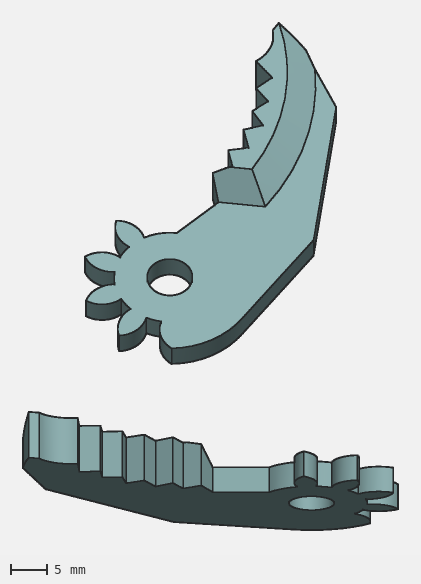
import cadquery as cq
import math

BASE_HEIGHT = 3.6
TOTAL_HEIGHT = 6.6

HOLE_RADIUS = 3.1
ROOT_RADIUS = 7.65
TIP_RADIUS = 12.2
TOOTH_PITCH = 36
FREE_TOOTH_ANGLES = [270 - TOOTH_PITCH * i for i in range(4)]
LAST_TOOTH_ANGLE = 270 + TOOTH_PITCH
TOOTH_ROOT_HALF_WIDTH = 1.3
TOOTH_WIDE_HALF_WIDTH = 1.55
TOOTH_WIDE_RADIUS = 9.6

JAW_TIP = (-11.3, 42.5)
TIP_ARC_MIDDLE = (-8.5, 42.45)
TIP_ARC_END = (-6.55, 42.2)
BACK_CORNERS = [(2.1, 37.0), (12.6, 16.5)]
HOOK_START = (-11.3, 41.0)
HOOK_MIDDLE = (-9.95, 38.65)
SERRATIONS = [
    (-10.15, 35.35),
    (-6.7, 34.3),
    (-7.5, 31.5),
    (-4.85, 30.6),
    (-5.7, 28.0),
    (-3.05, 26.85),
    (-4.85, 24.7),
    (-2.5, 22.6),
    (-4.6, 20.6),
    (-2.5, 18.7),
    (-4.4, 16.55),
    (-1.85, 14.4),
]
NECK_END_X = -3.55
NECK_END = (NECK_END_X, math.sqrt(ROOT_RADIUS**2 - NECK_END_X**2))

CONE_CENTRE = (-31.05, 18.55)
CONE_TOP_RADIUS = 31.05
CONE_BASE_RADIUS = 34.95
END_FOOT_OUTER = (3.85, 17.4)
END_FOOT_INNER = SERRATIONS[-1]
END_SLOPE_RUN = 3.95
JAW_REACH = 65.65


def polar(radius, angle):
    turn = math.radians(angle)
    return (radius * math.cos(turn), radius * math.sin(turn))


def gear_tooth(angle):
    """Pointed tooth with two arc flanks, aimed along the given angle."""
    root_distance = math.sqrt(ROOT_RADIUS**2 - TOOTH_ROOT_HALF_WIDTH**2)
    return (
        cq.Workplane("XY")
        .lineTo(root_distance, -TOOTH_ROOT_HALF_WIDTH)
        .threePointArc((TOOTH_WIDE_RADIUS, -TOOTH_WIDE_HALF_WIDTH), (TIP_RADIUS, 0))
        .threePointArc(
            (TOOTH_WIDE_RADIUS, TOOTH_WIDE_HALF_WIDTH),
            (root_distance, TOOTH_ROOT_HALF_WIDTH),
        )
        .close()
        .extrude(BASE_HEIGHT)
        .rotate((0, 0, 0), (0, 0, 1), angle)
    )


def arm(height):
    """Arm outline, closed through the pivot, with a rounded heel."""
    heel_middle_angle = (LAST_TOOTH_ANGLE - 360) / 2
    return (
        cq.Workplane("XY")
        .moveTo(*JAW_TIP)
        .threePointArc(TIP_ARC_MIDDLE, TIP_ARC_END)
        .polyline(BACK_CORNERS + [(TIP_RADIUS, 0)], includeCurrent=True)
        .threePointArc(polar(TIP_RADIUS, heel_middle_angle), polar(TIP_RADIUS, LAST_TOOTH_ANGLE))
        .lineTo(0, 0)
        .lineTo(*NECK_END)
        .polyline(SERRATIONS[::-1], includeCurrent=True)
        .threePointArc(HOOK_MIDDLE, HOOK_START)
        .close()
        .extrude(height)
    )


def jaw_envelope():
    """Cone frustum on the base plate, cut off by the sloping end plane."""
    cone = (
        cq.Workplane("XY", origin=(*CONE_CENTRE, BASE_HEIGHT))
        .circle(CONE_BASE_RADIUS)
        .workplane(offset=TOTAL_HEIGHT - BASE_HEIGHT)
        .circle(CONE_TOP_RADIUS)
        .loft()
    )
    along_end = cq.Vector(*END_FOOT_OUTER) - cq.Vector(*END_FOOT_INNER)
    foot = cq.Vector(*END_FOOT_INNER, BASE_HEIGHT)
    across_end = cq.Vector(0, 0, 1).cross(along_end)
    end_plane = cq.Plane(origin=foot, xDir=across_end, normal=along_end)
    rise = TOTAL_HEIGHT - BASE_HEIGHT
    wedge = (
        cq.Workplane(end_plane)
        .polyline([(0, 0), (END_SLOPE_RUN, rise), (JAW_REACH, rise), (JAW_REACH, 0)])
        .close()
        .extrude(JAW_REACH, both=True)
    )
    return cone.intersect(wedge)


body = arm(BASE_HEIGHT).union(cq.Workplane("XY").circle(ROOT_RADIUS).extrude(BASE_HEIGHT))
for tooth_angle in FREE_TOOTH_ANGLES + [LAST_TOOTH_ANGLE]:
    body = body.union(gear_tooth(tooth_angle))

body = body.union(arm(TOTAL_HEIGHT).intersect(jaw_envelope()))

result = body.cut(cq.Workplane("XY").circle(HOLE_RADIUS).extrude(BASE_HEIGHT))